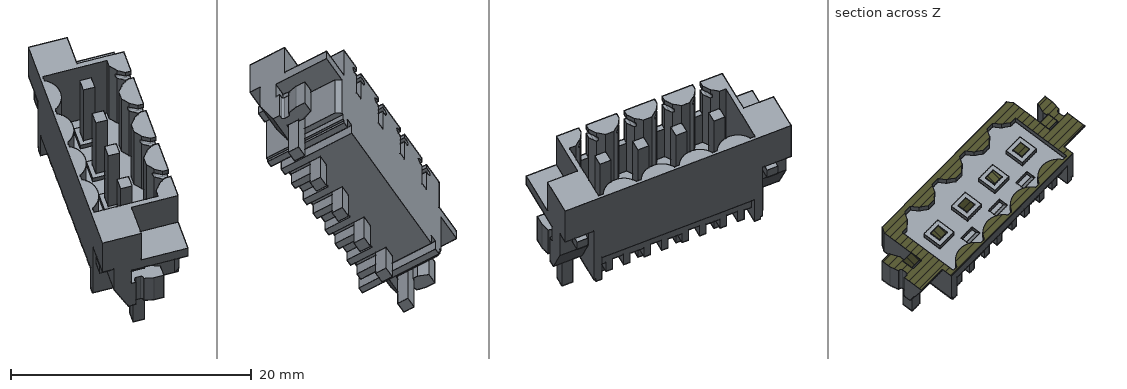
import cadquery as cq
import math


length = 20.85
depth = 7.45
height = 11.03
half_length = length / 2

pitch = 3.5
contact_count = 4
pin_size = 1.0
pin_y = 3.52
pin_front = pin_y - pin_size / 2
pin_back = pin_y + pin_size / 2
pin_drop = 3.17
pin_rise = 0.25
contact_xs = [(i - (contact_count - 1) / 2) * pitch for i in range(contact_count)]
between_xs = [x + pitch / 2 for x in contact_xs[:-1]]

mount_x = (contact_count + 1) / 2 * pitch
mount_outer = mount_x + pin_size / 2
mount_inner = mount_x - pin_size / 2
mount_arm_top = 6.07
mount_tip_y = 0.13
bend_outer = 1.5
bend_inner = bend_outer - pin_size

body_half = 7.78
ear_bottom = 1.0
ear_back = pin_back - bend_outer
upper_notch_half = 7.65
upper_notch_y = 3.38
upper_notch_z = 7.21
window_half = mount_inner
window_chamfer_x = 0.33
window_chamfer_y = 0.5
ear_front = 1.0
ear_recess_top = 6.85
ear_slope_top = 3.9
ear_slope_y = 2.25
skirt_step_x = 0.19
skirt_step_z = 0.31

clip_top = 4.2
clip_back = 5.34
clip_flat_y = 4.46
clip_tip_width = 0.95
clip_bulge = 1.31
groove_back = 3.65
groove_front = 2.9
groove_edge_x = 0.19
groove_floor_x = 0.45
groove_fillet = 0.19
support_top = 4.88
support_bevel = 0.35

cavity_half = 7.21
cavity_front = 0.27
cavity_back = 5.84
cavity_floor = 3.48
scallop_radius = 1.73
scallop_peak_y = 1.19
pad_size = 1.77
pad_height = 0.5
pocket_width = 1.4
pocket_front = 1.13
pocket_step = 1.56
pocket_back = 2.0
pocket_depth = 0.44

slot_width = 0.69
slot_half = slot_width / 2
slot_foot_z = upper_notch_z
web_front = 6.95
bay_corner = (0.75, 6.32)
bay_bulge = (1.02, 6.13)
bay_mouth_half = 1.35
keyhole_drop = 1.13
keyhole_height = 0.6
keyhole_width = 1.83

skirt_half = 7.03
comb_half = 6.38
front_recess_y = 0.58
front_recess_z = 2.9
comb_gap_z = 1.2
channel_z = 1.38
relief_width = 1.3
relief_z = 1.2


def box(x0, x1, y0, y1, z0, z1):
    return cq.Workplane("XY").box(x1 - x0, y1 - y0, z1 - z0, centered=False).translate((x0, y0, z0))


def mirrored(left_shape):
    """The shape together with its mirror image at the other end of the housing."""
    return left_shape.union(left_shape.mirror("YZ"))


def contact(x):
    """Straight square pin through the cavity floor."""
    r = pin_size / 2
    return box(x - r, x + r, pin_front, pin_back, -pin_drop, height + pin_rise)


def mounting_pin(x):
    """Square pin rising from below and bent forward through the ear."""
    arm_bottom = mount_arm_top - pin_size
    bend_z = mount_arm_top - bend_outer
    diagonal = math.cos(math.pi / 4)
    profile = (
        cq.Workplane("YZ")
        .moveTo(pin_back, -pin_drop)
        .lineTo(pin_back, bend_z)
        .threePointArc(
            (ear_back + bend_outer * diagonal, bend_z + bend_outer * diagonal), (ear_back, mount_arm_top)
        )
        .lineTo(mount_tip_y, mount_arm_top)
        .lineTo(mount_tip_y, arm_bottom)
        .lineTo(ear_back, arm_bottom)
        .threePointArc(
            (ear_back + bend_inner * diagonal, bend_z + bend_inner * diagonal), (pin_front, bend_z)
        )
        .lineTo(pin_front, -pin_drop)
        .close()
    )
    return profile.extrude(pin_size).translate((x - pin_size / 2, 0, 0))


def ear_cuts():
    """Everything removed around the left ear."""
    below = box(-half_length, -body_half, 0, depth, 0, ear_bottom)
    step = box(-body_half, -body_half + skirt_step_x, 0, depth, 0, skirt_step_z)
    upper_notch = box(-half_length, -upper_notch_half, upper_notch_y, depth, upper_notch_z, height)
    window = (
        cq.Workplane("XY", origin=(0, 0, ear_bottom))
        .moveTo(-half_length, ear_back)
        .lineTo(-window_half, ear_back)
        .lineTo(-window_half, depth - window_chamfer_y)
        .lineTo(-window_half + window_chamfer_x, depth)
        .lineTo(-half_length, depth)
        .close()
        .extrude(mount_arm_top - ear_bottom)
    )
    front = (
        cq.Workplane("YZ", origin=(-half_length, 0, 0))
        .moveTo(0, ear_bottom)
        .lineTo(ear_slope_y, ear_bottom)
        .lineTo(ear_front, ear_slope_top)
        .lineTo(ear_front, ear_recess_top)
        .lineTo(0, ear_recess_top)
        .close()
        .extrude(half_length - body_half)
    )
    return below.union(step).union(upper_notch).union(window).union(front)


def clip():
    """Grooved clip reaching back from the left ear, along the outer side of the mounting pin."""
    floor_x = -half_length + groove_floor_x
    outline = (
        cq.Workplane("XY", origin=(0, 0, ear_bottom))
        .moveTo(-half_length, ear_back)
        .lineTo(-half_length, groove_front)
        .lineTo(floor_x, groove_front)
        .lineTo(floor_x, groove_back)
        .lineTo(-half_length + groove_edge_x, groove_back)
        .lineTo(-half_length, clip_flat_y)
        .lineTo(-half_length, clip_back)
        .lineTo(-half_length + clip_tip_width, clip_back)
        .lineTo(-half_length + clip_bulge, clip_flat_y)
        .lineTo(-half_length + clip_bulge, pin_back)
        .lineTo(-mount_outer, pin_back)
        .lineTo(-mount_outer, ear_back)
        .close()
        .extrude(clip_top - ear_bottom)
    )
    margin = 0.02
    groove_corners = cq.selectors.BoxSelector(
        (floor_x - margin, groove_front - margin, 0), (floor_x + margin, groove_back + margin, height)
    )
    return outline.edges("|Z").edges(groove_corners).fillet(groove_fillet)


def pin_support():
    """Block between the ear and the mounting pin, bevelled to clear the bend."""
    block = box(-mount_outer, -mount_inner, ear_back, groove_front, ear_bottom, support_top)
    return block.edges(">Y and >Z").chamfer(support_bevel)


def cavity():
    """Open space around the contacts, with round ribs along its front wall."""
    cavity_height = height - cavity_floor
    space = box(-cavity_half, cavity_half, cavity_front, cavity_back, cavity_floor, height)
    for x in contact_xs:
        scallop = (
            cq.Workplane("XY", origin=(x, scallop_peak_y - scallop_radius, cavity_floor))
            .circle(scallop_radius)
            .extrude(cavity_height)
        )
        space = space.cut(scallop).union(bay(x))
    return space


def bay(x):
    """Space behind one contact, narrowing toward the slot in the back wall."""
    corner_x, corner_y = bay_corner
    bulge_x, bulge_y = bay_bulge
    return (
        cq.Workplane("XY", origin=(x, 0, cavity_floor))
        .moveTo(-bay_mouth_half, cavity_back)
        .threePointArc((-bulge_x, bulge_y), (-corner_x, corner_y))
        .lineTo(-slot_half, web_front)
        .lineTo(slot_half, web_front)
        .lineTo(corner_x, corner_y)
        .threePointArc((bulge_x, bulge_y), (bay_mouth_half, cavity_back))
        .close()
        .extrude(height - cavity_floor)
    )


def keyhole(x):
    """Slot through the back wall, crossed by a wider round-ended opening."""
    slot = box(x - slot_half, x + slot_half, web_front, depth, slot_foot_z, height)
    opening = (
        cq.Workplane("XZ", origin=(x, depth, height - keyhole_drop + keyhole_height / 2))
        .slot2D(keyhole_width, keyhole_height)
        .extrude(depth - cavity_back)
    )
    return slot.union(opening)


def floor_pocket(x):
    """Pocket in the cavity floor with a sloping front side."""
    return (
        cq.Workplane("YZ", origin=(x - pocket_width / 2, 0, 0))
        .moveTo(pocket_front, cavity_floor)
        .lineTo(pocket_step, cavity_floor - pocket_depth)
        .lineTo(pocket_back, cavity_floor - pocket_depth)
        .lineTo(pocket_back, cavity_floor)
        .close()
        .extrude(pocket_width)
    )


def contact_pad(x):
    """Square pad on the cavity floor around one contact."""
    r = pad_size / 2
    return box(x - r, x + r, pin_y - r, pin_y + r, cavity_floor, cavity_floor + pad_height)


def underside_cuts():
    """Front recess, end gaps, contact channels and the reliefs between them."""
    cuts = box(-skirt_half, skirt_half, 0, front_recess_y, 0, front_recess_z)
    cuts = cuts.union(mirrored(box(-skirt_half, -comb_half, 0, depth, 0, comb_gap_z)))
    for x in contact_xs:
        cuts = cuts.union(box(x - pin_size / 2, x + pin_size / 2, 0, pin_front, 0, channel_z))
    for x in between_xs:
        cuts = cuts.union(box(x - relief_width / 2, x + relief_width / 2, 0, pin_front, 0, relief_z))
    return cuts


def make_housing(pins):
    """Housing with a fitting hole for each pin."""
    body = box(-half_length, half_length, 0, depth, 0, height)
    body = body.cut(mirrored(ear_cuts())).cut(cavity()).cut(underside_cuts())
    body = body.union(mirrored(clip().union(pin_support())))
    for x in contact_xs:
        body = body.cut(keyhole(x)).union(contact_pad(x))
    for x in between_xs:
        body = body.cut(floor_pocket(x))
    for pin in pins:
        body = body.cut(pin)
    return body


contacts = [contact(x) for x in contact_xs]
mounting_pins = [mounting_pin(x) for x in (-mount_x, mount_x)]
pins = contacts + mounting_pins
housing = make_housing(pins)

result = cq.Compound.makeCompound([housing.solids().val(), *[pin.val() for pin in pins]])